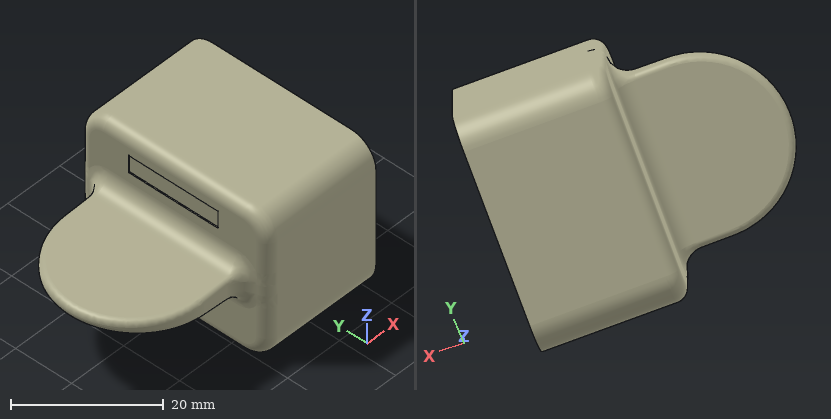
import cadquery as cq
import math

body_length = 21.0
body_width = 33.75
body_height = 25.75
corner_radius = 4.5
front_round = 2.0
rear_round = 0.25

overall_length = 41.0
tab_length = overall_length - body_length
tab_half_width = 12.5
tab_root_thickness = 3.95
tab_draft_degrees = 2.7
tab_edge_round = 1.0
tab_root_fillet = 3.0
tab_embed = 4.1

label_width = 16.0
label_height = 3.0
label_center_z = 8.0
label_depth = 0.2

plane_tolerance = 0.005


def make_body():
    """Block with rounded long edges and rear rim, still sharp around its front face."""
    block = cq.Workplane("YZ").rect(body_width, body_height).extrude(body_length)
    block = block.edges("|X").fillet(corner_radius)
    return block.faces(">X").edges().fillet(rear_round)


def make_tab():
    """Tongue outline in plan, thinned towards the tip by a wedge and rounded along its rim."""
    arc_center_x = tab_half_width - tab_length
    plan = (
        cq.Workplane("XY")
        .moveTo(tab_embed, -tab_half_width)
        .lineTo(arc_center_x, -tab_half_width)
        .threePointArc((-tab_length, 0), (arc_center_x, tab_half_width))
        .lineTo(tab_embed, tab_half_width)
        .close()
        .extrude(tab_root_thickness, both=True)
    )

    slope = math.tan(math.radians(tab_draft_degrees))
    inner_half = tab_root_thickness / 2 + tab_embed * slope
    tip_half = tab_root_thickness / 2 - tab_length * slope
    wedge = (
        cq.Workplane("XZ")
        .moveTo(tab_embed, -inner_half)
        .lineTo(tab_embed, inner_half)
        .lineTo(-tab_length, tip_half)
        .lineTo(-tab_length, -tip_half)
        .close()
        .extrude(body_width / 2, both=True)
    )

    tab = plan.intersect(wedge)
    rim = tab.faces(">Z or <Z").edges("not >X")
    return rim.fillet(tab_edge_round)


def on_front_face(edge):
    """True for edges lying flat in the front face plane X = 0."""
    box = edge.BoundingBox()
    return max(abs(box.xmin), abs(box.xmax)) < plane_tolerance


def on_tab_root(edge):
    """True for the edges where the tab meets the front face."""
    center = edge.Center()
    within_width = abs(center.y) <= tab_half_width
    return on_front_face(edge) and within_width and abs(center.z) < tab_root_thickness


def on_front_rim(edge):
    """True for outer edges of the front face, which form one tangent loop."""
    center = edge.Center()
    on_long_side = abs(center.z) > body_height / 2 - corner_radius
    on_short_side = abs(center.y) > tab_half_width + tab_root_fillet
    return on_front_face(edge) and (on_long_side or on_short_side)


def make_label_recess():
    """Thin rectangular block to sink into the front face."""
    return (
        cq.Workplane("YZ")
        .center(0, label_center_z)
        .rect(label_width, label_height)
        .extrude(label_depth)
    )


cap = make_body().union(make_tab())
cap = cap.edges().filter(on_tab_root).fillet(tab_root_fillet)
cap = cap.edges().filter(on_front_rim).fillet(front_round)
result = cap.cut(make_label_recess())